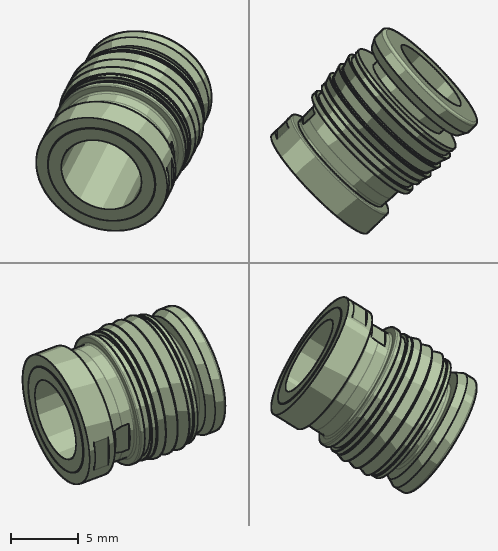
import cadquery as cq
import math

LENGTH = 11.71
BORE_R = 3.1

HEAD_R = 4.93
HEAD_ROUND = 0.23
HEAD_CONE_START = 0.97
HEAD_CONE_R = 4.59
HEAD_END = 1.62
NECK_R = 3.52
NECK_FILLET = 0.18

FLANGE_R = 5.07
CORE_R = 4.99
UPPER_FLANGE_START = 2.52
UPPER_FLANGE_END = 2.89
FLANGE_CHAMFER = FLANGE_R - CORE_R
BARB_R = 5.27
BARB_START = 3.31
BARB_PITCH = 1.0
BARB_COUNT = 3
BARB_LAND = 0.05
BARB_LENGTH = 0.85

MIDDLE_FLANGE_START = 6.0
UNDERCUT_LENGTH = 0.09
GROOVE_START = 6.4
GROOVE_END = 6.95
GROOVE_R = 4.77
GROOVE_EDGE_CHAMFER = 0.05
LOWER_FLANGE_END = 7.42
LOWER_FLANGE_ROUND = 0.09

WAIST_R = 4.44
WAIST_FILLET = 0.14
WAIST_TAPER_START = 8.49
WAIST_TAPER_END = 9.27
WAIST_END_R = 4.38
COLLAR_START = 9.5
COLLAR_ROUND = 0.09
LIP_HEIGHT = 0.05
LIP_R = 4.17

FLAT_WIDTH = 1.2
FLAT_DEPTH = 0.19
WAIST_FLAT_START = 7.89
COLLAR_FLAT_START = 10.0


def at(radius, distance):
    """Profile point at a radius and a distance from the head face."""
    return radius, LENGTH / 2 - distance


def add_points(profile, *points):
    """Continue the profile with straight lines through (radius, distance) points."""
    for radius, distance in points:
        profile = profile.lineTo(*at(radius, distance))
    return profile


def add_arc(profile, center, size, start_angle):
    """Line to a quarter arc and follow it by 90 degrees.

    Angles are measured from the outward radial direction towards the collar end.
    A negative size follows the arc backwards, as needed for an inside fillet.
    """
    sweep = math.copysign(math.pi / 2, size)
    start = math.radians(start_angle)
    points = []
    for angle in (start, start + sweep / 2, start + sweep):
        radius = center[0] + abs(size) * math.cos(angle)
        distance = center[1] + abs(size) * math.sin(angle)
        points.append(at(radius, distance))
    return profile.lineTo(*points[0]).threePointArc(points[1], points[2])


def add_head(profile):
    profile = add_arc(profile, (HEAD_R - HEAD_ROUND, HEAD_ROUND), HEAD_ROUND, -90)
    profile = add_points(profile, (HEAD_R, HEAD_CONE_START), (HEAD_CONE_R, HEAD_END))
    fillet_center = (NECK_R + NECK_FILLET, HEAD_END + NECK_FILLET)
    return add_arc(profile, fillet_center, -NECK_FILLET, 270)


def add_barbs(profile):
    profile = add_points(
        profile,
        (NECK_R, UPPER_FLANGE_START),
        (FLANGE_R, UPPER_FLANGE_START),
        (FLANGE_R, UPPER_FLANGE_END - FLANGE_CHAMFER),
        (CORE_R, UPPER_FLANGE_END),
    )
    taper = (BARB_R - CORE_R) / (BARB_LENGTH - BARB_LAND)
    undercut_start = MIDDLE_FLANGE_START - UNDERCUT_LENGTH
    for index in range(BARB_COUNT):
        start = BARB_START + index * BARB_PITCH
        end = min(start + BARB_LENGTH, undercut_start)
        end_r = BARB_R - taper * (end - start - BARB_LAND)
        profile = add_points(
            profile,
            (CORE_R, start),
            (BARB_R, start),
            (BARB_R, start + BARB_LAND),
            (end_r, end),
        )
    return add_points(profile, (CORE_R, MIDDLE_FLANGE_START))


def add_seal_groove(profile):
    edge_r = FLANGE_R - GROOVE_EDGE_CHAMFER
    profile = add_points(
        profile,
        (FLANGE_R, MIDDLE_FLANGE_START),
        (FLANGE_R, GROOVE_START - GROOVE_EDGE_CHAMFER),
        (edge_r, GROOVE_START),
        (GROOVE_R, GROOVE_START),
        (GROOVE_R, GROOVE_END),
        (edge_r, GROOVE_END),
        (FLANGE_R, GROOVE_END + GROOVE_EDGE_CHAMFER),
    )
    round_center = (FLANGE_R - LOWER_FLANGE_ROUND, LOWER_FLANGE_END - LOWER_FLANGE_ROUND)
    return add_arc(profile, round_center, LOWER_FLANGE_ROUND, 0)


def add_waist(profile):
    fillet_center = (WAIST_R + WAIST_FILLET, LOWER_FLANGE_END + WAIST_FILLET)
    profile = add_arc(profile, fillet_center, -WAIST_FILLET, 270)
    return add_points(
        profile,
        (WAIST_R, WAIST_TAPER_START),
        (WAIST_END_R, WAIST_TAPER_END),
        (WAIST_END_R, COLLAR_START),
    )


def add_collar(profile):
    round_center = (FLANGE_R - COLLAR_ROUND, COLLAR_START + COLLAR_ROUND)
    profile = add_arc(profile, round_center, COLLAR_ROUND, -90)
    return add_points(
        profile,
        (FLANGE_R, LENGTH - LIP_HEIGHT),
        (LIP_R, LENGTH - LIP_HEIGHT),
        (LIP_R - LIP_HEIGHT, LENGTH),
        (BORE_R, LENGTH),
    )


def make_sleeve():
    profile = cq.Workplane("XY").moveTo(*at(BORE_R, 0))
    for add_section in (add_head, add_barbs, add_seal_groove, add_waist, add_collar):
        profile = add_section(profile)
    return profile.close().revolve(360, (0, 0, 0), (0, 1, 0))


def flat_cutter(outer_r, start):
    """Block that leaves a shallow flat facing +X, starting at a distance from the head."""
    middle = LENGTH / 2 - start - FLAT_WIDTH / 2
    block = cq.Workplane("XY").box(outer_r, FLAT_WIDTH, 2 * outer_r, centered=(False, True, True))
    return block.translate((outer_r - FLAT_DEPTH, middle, 0))


result = make_sleeve()
result = result.cut(flat_cutter(WAIST_R, WAIST_FLAT_START))
result = result.cut(flat_cutter(FLANGE_R, COLLAR_FLAT_START))